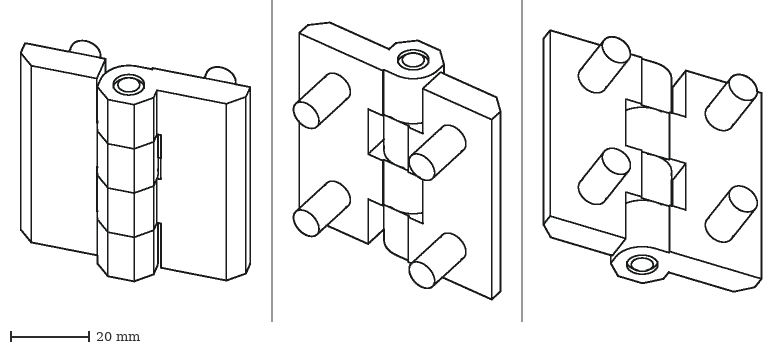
import cadquery as cq
import math


hinge_width = 60.0
hinge_height = 60.0
leaf_thickness = 8.0
edge_chamfer = 4.0
half_width = hinge_width / 2
half_height = hinge_height / 2
back_y = leaf_thickness

knuckle_count = 4
knuckle_radius = 7.5
knuckle_front_depth = 7.0
knuckle_chamfer = 4.0
knuckle_clearance = 1.0
back_relief_half_width = 3.95
knuckle_height = hinge_height / knuckle_count
knuckle_front_y = -knuckle_front_depth

pin_diameter = 8.0
pin_end_chamfer = 1.2

stud_diameter = 8.0
stud_length = 14.0
stud_offset = 18.0


def make_leaf():
    """Right-hand leaf, with knuckles at the first and third levels from the top."""
    plate_inner_x = knuckle_radius + knuckle_clearance
    plate = (
        cq.Workplane("XY")
        .workplane(offset=-half_height)
        .moveTo(plate_inner_x, 0)
        .lineTo(half_width - edge_chamfer, 0)
        .lineTo(half_width, edge_chamfer)
        .lineTo(half_width, back_y)
        .lineTo(plate_inner_x, back_y)
        .close()
        .extrude(hinge_height)
    )

    arc_middle = knuckle_radius * math.sqrt(0.5)
    knuckle_side_y = knuckle_front_y + knuckle_chamfer
    knuckle_flat_x = knuckle_radius - knuckle_chamfer
    leaf = plate
    for level in range(0, knuckle_count, 2):
        level_bottom = half_height - (level + 1) * knuckle_height
        knuckle = (
            cq.Workplane("XY")
            .workplane(offset=level_bottom)
            .moveTo(-knuckle_radius, 0)
            .lineTo(-knuckle_radius, knuckle_side_y)
            .lineTo(-knuckle_flat_x, knuckle_front_y)
            .lineTo(knuckle_flat_x, knuckle_front_y)
            .lineTo(knuckle_radius, knuckle_side_y)
            .lineTo(knuckle_radius, 0)
            .lineTo(plate_inner_x, 0)
            .lineTo(plate_inner_x, back_y)
            .lineTo(back_relief_half_width, back_y)
            .lineTo(back_relief_half_width, knuckle_radius)
            .lineTo(0, knuckle_radius)
            .threePointArc((-arc_middle, arc_middle), (-knuckle_radius, 0))
            .close()
            .extrude(knuckle_height)
        )
        leaf = leaf.union(knuckle)

    pin_hole = (
        cq.Workplane("XY")
        .workplane(offset=-half_height)
        .circle(pin_diameter / 2)
        .extrude(hinge_height)
    )
    return leaf.cut(pin_hole)


def make_pin():
    """Full-height hinge pin, flush with the leaves and chamfered at both ends."""
    return (
        cq.Workplane("XY")
        .workplane(offset=-half_height)
        .circle(pin_diameter / 2)
        .extrude(hinge_height)
        .faces("|Z")
        .edges()
        .chamfer(pin_end_chamfer)
    )


def make_stud(x, z):
    """Plain mounting stud standing on the back face of a leaf."""
    base = cq.Vector(x, back_y, z)
    direction = cq.Vector(0, 1, 0)
    return cq.Solid.makeCylinder(stud_diameter / 2, stud_length, base, direction)


right_leaf = make_leaf()
left_leaf = make_leaf().rotate((0, 0, 0), (0, 1, 0), 180)
pin = make_pin()

studs = []
for x in (-stud_offset, stud_offset):
    for z in (-stud_offset, stud_offset):
        studs.append(make_stud(x, z))

result = cq.Compound.makeCompound([right_leaf.val(), left_leaf.val(), pin.val(), *studs])